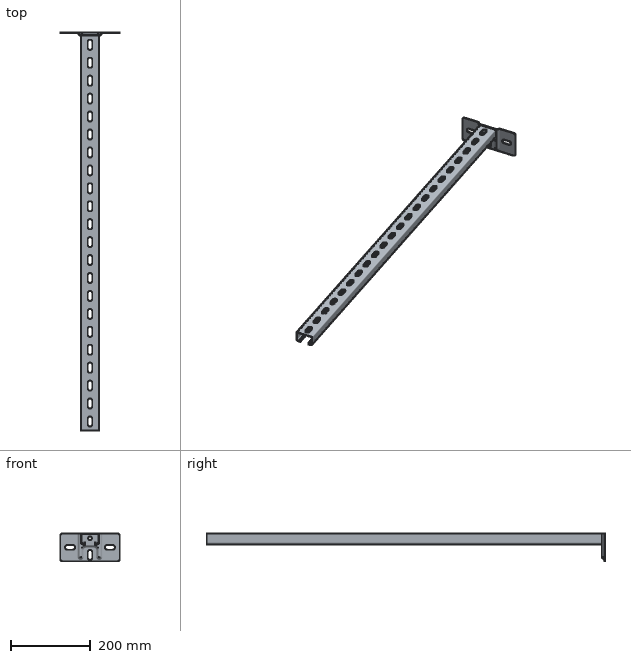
import cadquery as cq
import math

total_length = 999.0
plate_width = 150.0
plate_height = 70.0
back_y = total_length / 2
free_end_y = -total_length / 2
top_z = plate_height

sheet = 3.0
plate_corner = 6.0
boss_depth = 6.0
boss_half_width = 31.0
boss_bottom = 4.0
bay_half_width = 16.0
bay_top = 35.0
boss_corner = 7.0
flank_angle = 40.0
crown_radius = 1.0
foot_radius = 2.0

slot_length = 25.0
slot_width = 11.0
wing_slot_x = 50.0
wing_slot_z = plate_height / 2
bay_slot_z = 16.0
pilot_diameter = 9.0
pilot_z = 58.0

rail_width = 46.0
rail_height = 28.0
wall = 2.5
top_bend = 3.0
lip_bend = 6.0
mouth_width = 23.0
lip_return = 6.0

slot_count = 22
slot_pitch = 45.0
first_slot_gap = 23.0

wing_front_y = back_y - sheet
boss_front_y = wing_front_y - boss_depth
rail_length = boss_front_y - free_end_y
rail_middle_z = top_z - rail_height / 2
lip_middle_z = top_z - rail_height + lip_return / 2


def front_plane(y):
    """XZ workplane at the given Y; extrusion runs toward -Y."""
    return cq.Workplane("XZ", origin=(0, y, 0))


def plate_block(depth):
    """Block with the outline of the bracket plate, standing forward from its rear face."""
    return front_plane(back_y).center(0, plate_height / 2).rect(plate_width, plate_height).extrude(depth)


def boss_block(inset, foot_y):
    """Sloped-sided arch standing forward from foot_y, its outline shrunk by inset.

    It overshoots the top of the plate so that its sloped upper end can be trimmed away.
    """
    overshoot_z = top_z + 2 * boss_depth
    right_half = [
        (boss_half_width, overshoot_z),
        (boss_half_width, boss_bottom),
        (bay_half_width, boss_bottom),
        (bay_half_width, bay_top),
    ]
    left_half = [(-x, z) for x, z in reversed(right_half)]
    outline = front_plane(foot_y).polyline(right_half + left_half).close().wires().val()
    lower_corners = [corner for corner in outline.Vertices() if corner.Z < top_z]
    outline = outline.fillet2D(boss_corner, lower_corners)
    if inset > 0:
        outline = outline.offset2D(-inset)[0]
    return front_plane(foot_y).add(outline).toPending().extrude(boss_depth, taper=flank_angle)


def boss_foot_edges():
    """Selector for the edges where the flanks of the boss meet the wings."""
    half_sheet = sheet / 2
    return cq.selectors.BoxSelector(
        (-boss_half_width - half_sheet, wing_front_y - half_sheet, boss_bottom / 2),
        (boss_half_width + half_sheet, wing_front_y + half_sheet, top_z - half_sheet),
    )


def make_bracket():
    plate = plate_block(sheet).edges("|Y").fillet(plate_corner)

    front = boss_block(0, wing_front_y).faces("<Y").edges().fillet(crown_radius)
    trimmed_front = front.intersect(plate_block(sheet + boss_depth))
    hollow_inset = sheet * math.tan(math.radians(45 - flank_angle / 2))
    hollow = boss_block(hollow_inset, back_y)
    bracket = plate.union(trimmed_front).edges(boss_foot_edges()).fillet(foot_radius).cut(hollow)

    wing_slots = (
        front_plane(back_y)
        .pushPoints([(side * wing_slot_x, wing_slot_z) for side in (-1, 1)])
        .slot2D(slot_length, slot_width)
        .extrude(sheet)
    )
    bay_slot = front_plane(back_y).center(0, bay_slot_z).slot2D(slot_length, slot_width, 90).extrude(sheet)
    pilot = front_plane(back_y).center(0, pilot_z).circle(pilot_diameter / 2).extrude(sheet + boss_depth)
    return bracket.cut(wing_slots).cut(bay_slot).cut(pilot)


def rail_bar(inset):
    """Full-length bar with the rounded outline of the rail, shrunk by inset."""
    return (
        front_plane(boss_front_y)
        .center(0, rail_middle_z)
        .rect(rail_width - 2 * inset, rail_height - 2 * inset)
        .extrude(rail_length)
        .edges("|Y and >Z")
        .fillet(top_bend - inset)
        .edges("|Y and <Z")
        .fillet(lip_bend - inset)
    )


def make_rail():
    mouth = front_plane(boss_front_y).center(0, lip_middle_z).rect(mouth_width, lip_return).extrude(rail_length)
    return_x = (mouth_width + wall) / 2
    lip_returns = (
        front_plane(boss_front_y)
        .pushPoints([(side * return_x, lip_middle_z) for side in (-1, 1)])
        .rect(wall, lip_return)
        .extrude(rail_length)
    )
    rail = rail_bar(0).cut(rail_bar(wall)).cut(mouth).union(lip_returns)

    first_slot_y = free_end_y + first_slot_gap
    slots = (
        cq.Workplane("XY", origin=(0, 0, top_z - wall))
        .pushPoints([(0, first_slot_y + index * slot_pitch) for index in range(slot_count)])
        .slot2D(slot_length, slot_width, 90)
        .extrude(wall)
    )
    return rail.cut(slots)


bracket = make_bracket()
rail = make_rail()
result = cq.Compound.makeCompound([bracket.val(), rail.val()])